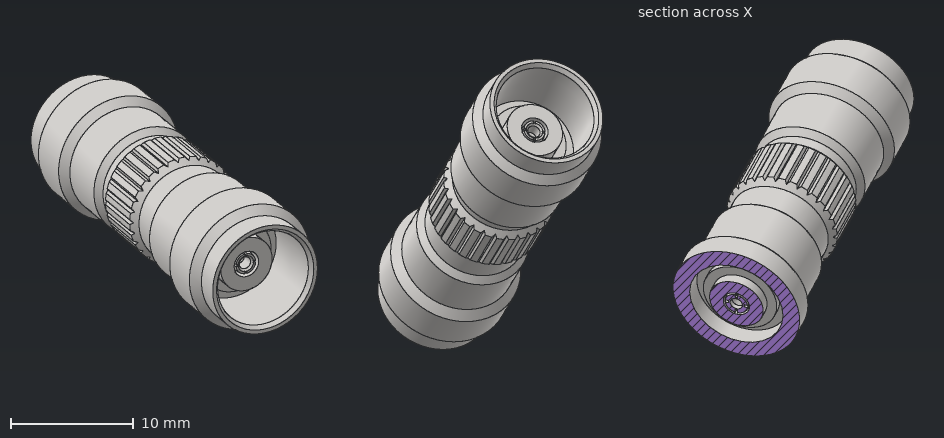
import cadquery as cq
import math

length = 32.5
half_length = length / 2

body_radius = 9.62 / 2
left_band_radius = 11.0 / 2
right_band_radius = 11.1 / 2
neck_radius = 8.52 / 2
band_start = 2.0
band_end = 7.0
body_end = 11.83
neck_chamfer = body_radius - neck_radius

collar_radius = 9.62 / 2
collar_start = -3.48
collar_end = 2.0
collar_chamfer_length = 0.6
groove_count = 30
groove_width = 0.42
groove_depth = 0.23

mouth_radius = 8.9 / 2
bore_radius = 8.32 / 2
bore_floor_radius = 8.03 / 2
mouth_depth = 0.4
bore_depth = 5.85

post_radius = 4.7 / 2
post_start = 3.35
shoulder_radius = 6.4 / 2
shoulder_start = 5.2

contact_hole_radius = 2.25 / 2
contact_hole_depth = 1.95
contact_base_radius = 2.2 / 2
contact_tip_radius = 1.8 / 2
contact_tip_gap = 0.1
socket_mouth_radius = 1.4 / 2
socket_radius = 1.05 / 2
socket_chamfer = socket_mouth_radius - socket_radius
socket_depth = 1.3
socket_cone_depth = socket_radius / math.sqrt(3)
slot_width = 0.2
slot_depth = 1.3


def revolve_about_x(points):
    """Revolve an outline of (x, radius) points about the X axis."""
    return cq.Workplane("XY").polyline(points).close().revolve(360, (0, 0, 0), (1, 0, 0))


def both_ends(left_shape):
    """A shape at the -X end together with its mirror image at the +X end."""
    return left_shape.union(left_shape.mirror("YZ"))


def end_body(band_radius):
    """The solid body at the -X end, from its end face to the middle of the part."""
    band_chamfer = band_radius - body_radius
    distances_and_radii = [
        (0, 0),
        (0, body_radius),
        (band_start, body_radius),
        (band_start + band_chamfer, band_radius),
        (band_end - band_chamfer, band_radius),
        (band_end, body_radius),
        (body_end - neck_chamfer, body_radius),
        (body_end, neck_radius),
        (half_length, neck_radius),
        (half_length, 0),
    ]
    return revolve_about_x([(d - half_length, r) for d, r in distances_and_radii])


def collar():
    """A chamfered ring with V grooves running along its rim."""
    ring = revolve_about_x(
        [
            (collar_start, 0),
            (collar_start, neck_radius),
            (collar_start + collar_chamfer_length, collar_radius),
            (collar_end - collar_chamfer_length, collar_radius),
            (collar_end, neck_radius),
            (collar_end, 0),
        ]
    )
    overshoot = collar_radius + groove_depth
    half_width = groove_width
    groove = (
        cq.Workplane("YZ", origin=(collar_start, 0, 0))
        .moveTo(-(collar_radius - groove_depth), 0)
        .lineTo(-overshoot, half_width)
        .lineTo(-overshoot, -half_width)
        .close()
        .extrude(collar_end - collar_start)
    )
    for i in range(groove_count):
        ring = ring.cut(groove.rotate((0, 0, 0), (1, 0, 0), 360 / groove_count * i))
    return ring


def bore():
    """The cavity at the -X end, with a chamfered mouth."""
    floor = bore_depth - half_length
    return revolve_about_x(
        [
            (-half_length, 0),
            (-half_length, mouth_radius),
            (mouth_depth - half_length, bore_radius),
            (floor, bore_floor_radius),
            (floor, 0),
        ]
    )


def post():
    """The solid post in the -X bore, stepping out to a shoulder near the floor."""
    front = post_start - half_length
    shoulder = shoulder_start - half_length
    floor = bore_depth - half_length
    return revolve_about_x(
        [
            (front, 0),
            (front, post_radius),
            (shoulder, post_radius),
            (shoulder, shoulder_radius),
            (floor, shoulder_radius),
            (floor, 0),
        ]
    )


def contact_hole():
    front = post_start - half_length
    return (
        cq.Workplane("YZ", origin=(front, 0, 0))
        .circle(contact_hole_radius)
        .extrude(contact_hole_depth)
    )


def contact():
    """The tapered contact in the -X post, with a drilled socket.

    Crossed slots split the taper but stop at the wall of an unbroken core around the socket.
    """
    base = post_start + contact_hole_depth - half_length
    tip = post_start + contact_tip_gap - half_length
    taper = revolve_about_x(
        [
            (base, 0),
            (base, contact_base_radius),
            (tip, contact_tip_radius),
            (tip, 0),
        ]
    )
    slot_span = 2 * contact_base_radius
    for size in [(slot_width, slot_span), (slot_span, slot_width)]:
        slot = cq.Workplane("YZ", origin=(tip, 0, 0)).rect(*size).extrude(slot_depth)
        taper = taper.cut(slot)
    core = cq.Workplane("YZ", origin=(tip, 0, 0)).circle(socket_mouth_radius).extrude(base - tip)
    socket_end = tip + socket_depth
    socket = revolve_about_x(
        [
            (tip, 0),
            (tip, socket_mouth_radius),
            (tip + socket_chamfer, socket_radius),
            (socket_end, socket_radius),
            (socket_end + socket_cone_depth, 0),
        ]
    )
    return taper.union(core).cut(socket)


left_body = end_body(left_band_radius)
right_body = end_body(right_band_radius).mirror("YZ")
outside = left_body.union(right_body).union(collar())
end_detail = post().cut(contact_hole()).union(contact())
result = outside.cut(both_ends(bore())).union(both_ends(end_detail))